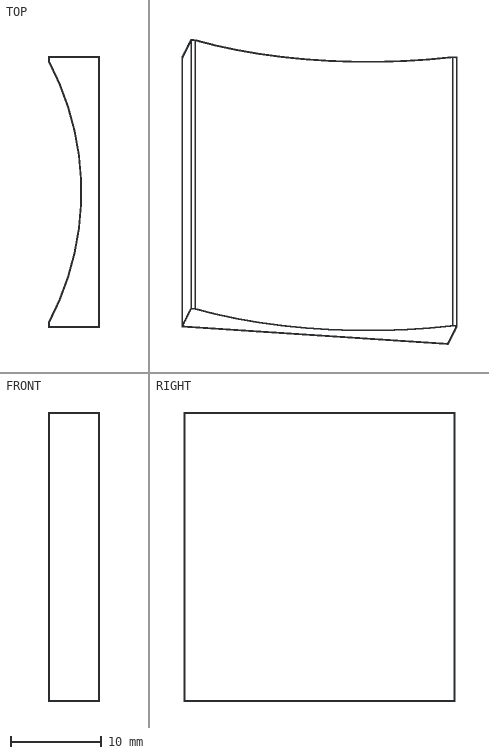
import cadquery as cq

thickness = 5.6
width = 30.0
height = 32.0

min_wall = 2.0
edge_land = 0.5

half_width = width / 2
half_chord = half_width - edge_land
hollow_depth = thickness - min_wall

profile = (
    cq.Workplane("XY")
    .moveTo(0, -half_width)
    .lineTo(thickness, -half_width)
    .lineTo(thickness, half_width)
    .lineTo(0, half_width)
    .lineTo(0, half_chord)
    .threePointArc((hollow_depth, 0), (0, -half_chord))
    .close()
)

result = profile.extrude(height)